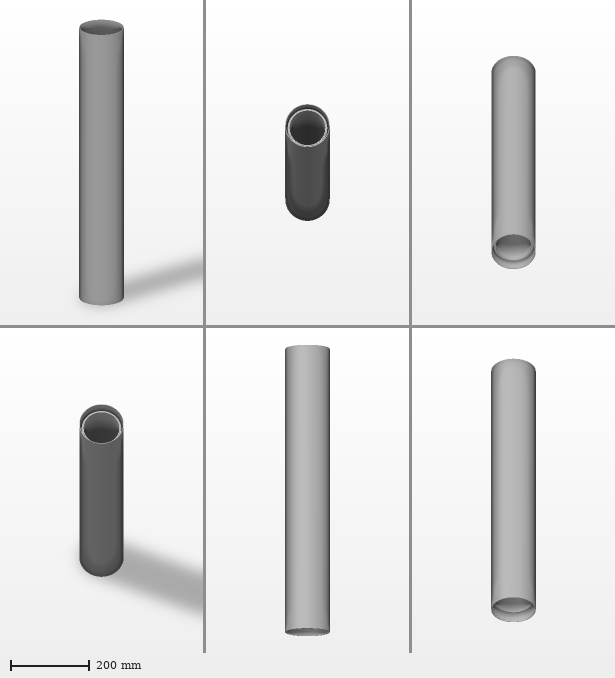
import cadquery as cq

LENGTH = 738.89
OUTER_DIAMETER = 114.17
OUTER_BORE = 111.0

INNER_DIAMETER = 101.6
INNER_BORE = 96.77
INNER_SETBACK = 25.4

LINER_BORE = 91.2
LINER_SETBACK = 22.8


def tube(diameter, bore, setback):
    """Tube on the Z axis, shortened by the setback at each end of the assembly."""
    profile = cq.Workplane("XY").workplane(offset=setback).circle(diameter / 2).circle(bore / 2)
    return profile.extrude(LENGTH - 2 * setback)


outer_tube = tube(OUTER_DIAMETER, OUTER_BORE, setback=0)
inner_tube = tube(INNER_DIAMETER, INNER_BORE, INNER_SETBACK)
liner = tube(INNER_BORE, LINER_BORE, LINER_SETBACK)

result = cq.Compound.makeCompound([outer_tube.val(), inner_tube.val(), liner.val()])